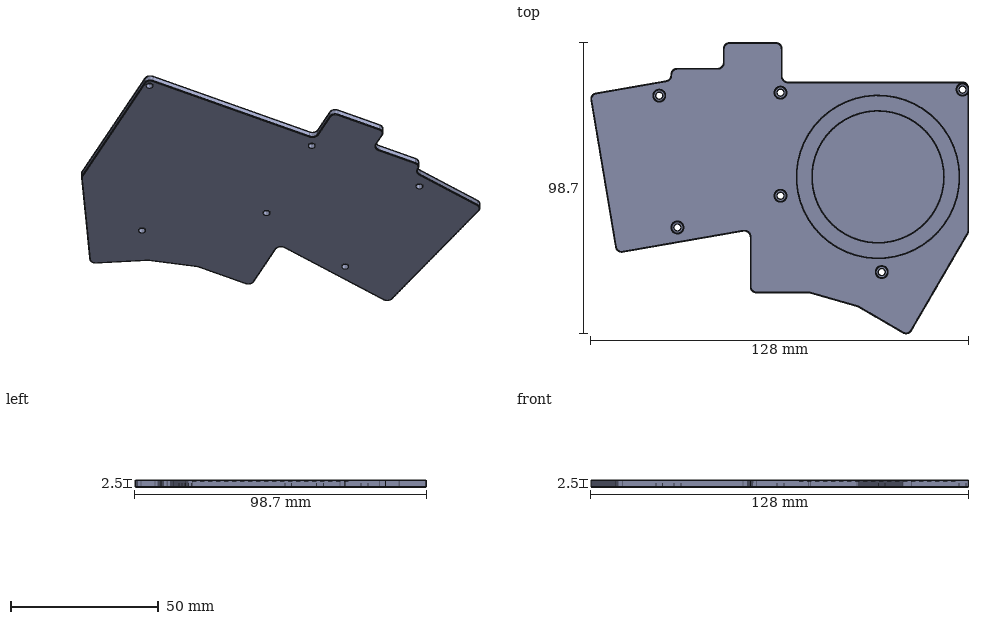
import cadquery as cq
import math

thickness = 2.5
half_length = 64.0
half_width = 49.37
corner_radius = 2.0
edge_chamfer = 0.3

main_top = 36.0
main_left = -10.0
main_bottom = -35.5
right_side_end = -15.0
tab_left = -19.1
tab_right = 0.8
step_left = -36.9
step_top = 40.6

wing_angle = 9.9
wing_side_angle = 9.5
wing_height = 54.7
wing_corner_x = -64.34
wing_corner_y = 31.9

tip_angle = 30.2
bend_angle = 16.0
bend_x = 26.5

ring_center = (33.3, 3.8)
ring_outer_diameter = 55.5
ring_inner_diameter = 44.6
ring_depth = 0.5
ring_lip = 0.19

hole_diameter = 2.3
counterbore_diameter = 4.4
counterbore_depth = 0.3
counterbore_lip = 0.3
hole_centers = [
    (-40.9, 31.4),
    (0.3, 32.4),
    (62.0, 33.4),
    (0.3, -2.5),
    (-34.7, -13.3),
    (34.6, -28.4),
]


def slope(angle):
    return math.tan(math.radians(angle))


def outline_points():
    """Sharp corners of the plate, clockwise from the upper left of the wing."""
    turn = math.radians(wing_side_angle)
    wing_low_x = wing_corner_x + wing_height * math.sin(turn)
    wing_low_y = wing_corner_y - wing_height * math.cos(turn)
    wing_top_end = wing_corner_y + (step_left - wing_corner_x) * slope(wing_angle)
    wing_bottom_end = wing_low_y + (main_left - wing_low_x) * slope(wing_angle)

    tip = math.radians(tip_angle)
    tip_y = -half_width - corner_radius * (math.cos(tip) + math.sin(tip) - 1)
    tip_x = half_length - (right_side_end - tip_y) * slope(tip_angle)
    bend_y = tip_y + (tip_x - bend_x) * slope(tip_angle)
    bottom_end = bend_x - (main_bottom - bend_y) / slope(bend_angle)

    return [
        (wing_corner_x, wing_corner_y),
        (step_left, wing_top_end),
        (step_left, step_top),
        (tab_left, step_top),
        (tab_left, half_width),
        (tab_right, half_width),
        (tab_right, main_top),
        (half_length, main_top),
        (half_length, right_side_end),
        (tip_x, tip_y),
        (bend_x, bend_y),
        (bottom_end, main_bottom),
        (main_left, main_bottom),
        (main_left, wing_bottom_end),
        (wing_low_x, wing_low_y),
    ]


def plate():
    """Plate with rounded corners and chamfered top and bottom rims."""
    body = cq.Workplane("XY").polyline(outline_points()).close().extrude(thickness)
    body = body.edges("|Z").fillet(corner_radius)
    return body.faces("<Z or >Z").edges().chamfer(edge_chamfer)


def frustum(center, bottom_radius, top_radius, height):
    """Round cutter that changes radius evenly up to the top face."""
    cone = cq.Workplane("XY", origin=(*center, thickness - height)).circle(bottom_radius)
    return cone.workplane(offset=height).circle(top_radius).loft(ruled=True)


def ring_groove():
    outer_radius = ring_outer_diameter / 2
    inner_radius = ring_inner_diameter / 2
    disc = frustum(ring_center, outer_radius - ring_lip, outer_radius, ring_depth)
    island = frustum(ring_center, inner_radius + ring_lip, inner_radius, ring_depth)
    return disc.cut(island)


def screw_hole(center):
    """Through hole below a shallow counterbore that widens toward the top face."""
    mouth_radius = counterbore_diameter / 2
    shaft = cq.Workplane("XY").center(*center).circle(hole_diameter / 2).extrude(thickness)
    head = frustum(center, mouth_radius - counterbore_lip, mouth_radius, counterbore_depth)
    return shaft.union(head)


result = plate().cut(ring_groove())
for hole_center in hole_centers:
    result = result.cut(screw_hole(hole_center))